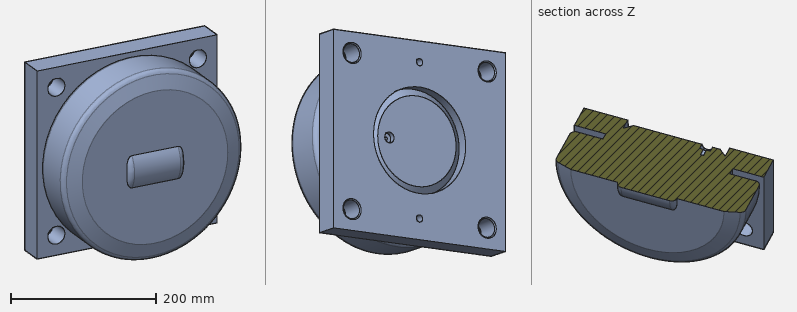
import cadquery as cq
import math

plate_side = 280.0
plate_thickness = 37.0
hole_offset = 110.0
bolt_hole_radius = 13.2
bolt_hole_chamfer = 1.7
pin_hole_radius = 5.0
pin_hole_depth = 14.0

recess_radius = 75.0
recess_depth = 16.8
plug_top_radius = 63.8
plug_top_depth = 7.0
port_offset = 44.8
port_radius = 7.5
port_depth = 8.5
port_bore_radius = 2.0
port_bore_depth = 11.2

neck_radius = 94.0
pad_start = 46.8
pad_end = 119.0
pad_radius = plate_side / 2
pad_fillet = 8.0
pad_cone_height = 27.0
pad_cone_angle = 17.0

overall_depth = 126.5
bar_radius = 41.7
bar_length = 88.0
bar_end_fillet = 8.0


def disc(radius, start, length, y=0, z=0):
    """Cylinder along +X."""
    return cq.Workplane("YZ", origin=(start, y, z)).circle(radius).extrude(length)


def make_pad():
    """Revolved pad with rounded rims and a conical shoulder on the outer face."""
    cone_start = pad_end - pad_cone_height * math.tan(math.radians(pad_cone_angle))
    blank = (
        cq.Workplane("XY")
        .moveTo(pad_start, 0)
        .lineTo(pad_start, pad_radius)
        .lineTo(cone_start, pad_radius)
        .lineTo(pad_end, pad_radius - pad_cone_height)
        .lineTo(pad_end, 0)
        .close()
        .revolve(360, (0, 0, 0), (1, 0, 0))
    )
    rims = blank.edges(cq.selectors.RadiusNthSelector(-1))
    return blank.newObject(rims.vals()).fillet(pad_fillet)


def make_bar():
    """Cylinder along Y with rounded ends, mostly buried in the pad."""
    axis_x = overall_depth - bar_radius
    bar = cq.Workplane("XZ", origin=(axis_x, 0, 0)).circle(bar_radius).extrude(bar_length / 2, both=True)
    return bar.edges("%CIRCLE").fillet(bar_end_fillet)


def make_recess():
    """Cutting body: a round recess minus its plug, plus the port in the plug."""
    plug = (
        cq.Workplane("YZ", origin=(plug_top_depth, 0, 0))
        .circle(plug_top_radius)
        .workplane(offset=recess_depth - plug_top_depth)
        .circle(recess_radius)
        .loft()
    )
    port_floor = plug_top_depth + port_depth
    port = disc(port_radius, plug_top_depth, port_depth, y=port_offset)
    bore = disc(port_bore_radius, port_floor, port_bore_depth, y=port_offset)
    return disc(recess_radius, 0, recess_depth).cut(plug).union(port).union(bore)


plate = cq.Workplane("YZ").rect(plate_side, plate_side).extrude(plate_thickness)
for y in (-hole_offset, hole_offset):
    for z in (-hole_offset, hole_offset):
        plate = plate.cut(disc(bolt_hole_radius, 0, plate_thickness, y, z))
plate = plate.faces("<X").edges("%CIRCLE").chamfer(bolt_hole_chamfer)
for z in (-hole_offset, hole_offset):
    plate = plate.cut(disc(pin_hole_radius, 0, pin_hole_depth, z=z))
plate = plate.cut(make_recess())

neck = disc(neck_radius, plate_thickness, pad_start - plate_thickness)
bar_zone = disc(pad_radius, pad_start, overall_depth - pad_start)
bar = make_bar().intersect(bar_zone)
result = plate.union(neck).union(make_pad()).union(bar)